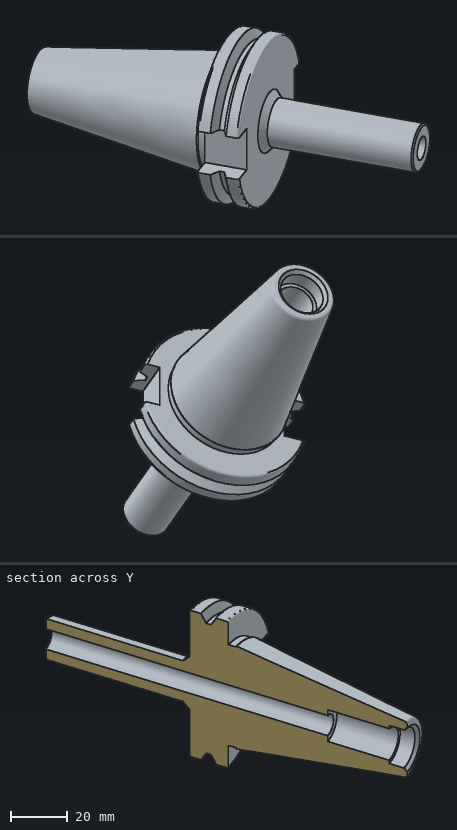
import cadquery as cq
import math

total_length = 144.5
taper_end = 68.1
neck_start = 68.5
flange_start = 71.4
flange_end = 87.2
shank_start = 89.8

taper_large_diameter = 44.5
taper_small_diameter = 24.0
taper_edge_radius = 1.3
neck_diameter = 43.6
shank_diameter = 17.8
shank_chamfer = 0.6
shank_cone_diameter = shank_diameter + 2 * (shank_start - flange_end)

flange_diameter = 63.3
flange_edge_radius = 0.9
groove_start = 76.5
groove_floor_diameter = 56.2
groove_floor_width = 1.9
groove_angle = math.radians(30)

slot_width = 16.5
slot_floor_plus_y = 25.0
slot_floor_minus_y = 22.5

entry_diameter = 18.8
pilot_diameter = 16.2
pilot_depth = 7.2
entry_angle = math.radians(45)
thread_diameter = 13.5
thread_depth = 31.8
through_diameter = 8.5


def make_body():
    """Revolve the taper, neck, flange and shank, with rounded taper and flange rims."""
    groove_run = (flange_diameter - groove_floor_diameter) / 2 * math.tan(groove_angle)
    floor_start = groove_start + groove_run
    floor_end = floor_start + groove_floor_width
    groove_end = floor_end + groove_run
    flange_radius = flange_diameter / 2
    body = (
        cq.Workplane("XY")
        .polyline([
            (0, 0),
            (0, taper_small_diameter / 2),
            (taper_end, taper_large_diameter / 2),
            (neck_start, neck_diameter / 2),
            (flange_start, neck_diameter / 2),
            (flange_start, flange_radius),
            (groove_start, flange_radius),
            (floor_start, groove_floor_diameter / 2),
            (floor_end, groove_floor_diameter / 2),
            (groove_end, flange_radius),
            (flange_end, flange_radius),
            (flange_end, shank_cone_diameter / 2),
            (shank_start, shank_diameter / 2),
            (total_length - shank_chamfer, shank_diameter / 2),
            (total_length, shank_diameter / 2 - shank_chamfer),
            (total_length, 0),
        ])
        .close()
        .revolve(360, (0, 0, 0), (1, 0, 0))
    )
    body = body.faces("<X").edges().fillet(taper_edge_radius)
    for rim_x in (flange_start, flange_end):
        rim = cq.selectors.NearestToPointSelector((rim_x, 0, 0))
        body = body.edges(cq.selectors.RadiusNthSelector(-1)).edges(rim).fillet(flange_edge_radius)
    return body


def make_bore():
    """Entry cone, pilot, thread hole and through hole as one turned tool."""
    entry_depth = (entry_diameter - pilot_diameter) / 2 * math.tan(entry_angle)
    return (
        cq.Workplane("XY")
        .polyline([
            (0, 0),
            (0, entry_diameter / 2),
            (entry_depth, pilot_diameter / 2),
            (pilot_depth, pilot_diameter / 2),
            (pilot_depth, thread_diameter / 2),
            (thread_depth, thread_diameter / 2),
            (thread_depth, through_diameter / 2),
            (total_length, through_diameter / 2),
            (total_length, 0),
        ])
        .close()
        .revolve(360, (0, 0, 0), (1, 0, 0))
    )


def make_slot(floor_distance, side):
    """Box outside the slot floor, spanning the flange; side is +1 or -1 in Y."""
    slot_depth = flange_diameter / 2 - floor_distance
    return cq.Workplane("XY").box(
        flange_end - flange_start, slot_depth, slot_width
    ).translate((
        (flange_start + flange_end) / 2,
        side * (floor_distance + slot_depth / 2),
        0,
    ))


result = make_body().cut(make_bore())
for floor_distance, side in ((slot_floor_plus_y, 1), (slot_floor_minus_y, -1)):
    result = result.cut(make_slot(floor_distance, side))